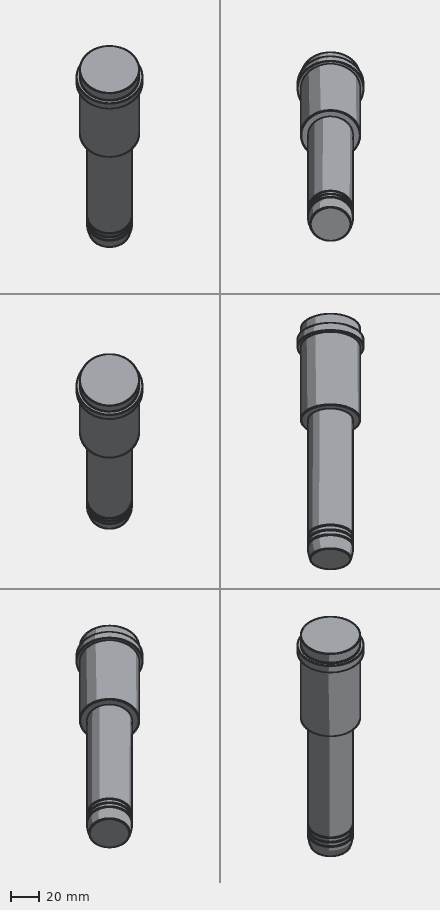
import cadquery as cq

total_length = 190.0
head_bottom = 114.5
collar_bottom = 174.6
collar_top = 181.0

head_radius = 21.0
shank_radius = 16.0
collar_radius = 23.46
tip_radius = 14.5

head_chamfer = 0.5
top_chamfer = 0.4
collar_chamfer = 0.4
tip_length = 7.0
tip_bulge = 0.2
tip_chamfer = 0.5

relief_half_width = 0.5
relief_depth = 0.4

groove_count = 3
groove_spacing = 4.0
first_groove_height = 10.6
groove_half_width = 0.5
groove_depth = 0.4


def v_groove_cutter(height, cylinder_radius, half_width, depth):
    """Ring of triangular section that cuts a V-groove into a cylinder."""
    return (
        cq.Workplane("XZ")
        .moveTo(cylinder_radius, height - half_width)
        .lineTo(cylinder_radius, height + half_width)
        .lineTo(cylinder_radius - depth, height)
        .close()
        .revolve(360, (0, 0, 0), (0, 1, 0))
    )


def make_shank():
    """Shank with a crowned tip that narrows towards the bottom."""
    tip_middle = (
        (shank_radius + tip_radius) / 2 + tip_bulge,
        (tip_length + tip_chamfer) / 2,
    )
    return (
        cq.Workplane("XZ")
        .moveTo(0, head_bottom)
        .lineTo(shank_radius, head_bottom)
        .lineTo(shank_radius, tip_length)
        .threePointArc(tip_middle, (tip_radius, tip_chamfer))
        .lineTo(tip_radius - tip_chamfer, 0)
        .lineTo(0, 0)
        .close()
        .revolve(360, (0, 0, 0), (0, 1, 0))
    )


def make_head():
    """Thicker upper cylinder with both end edges chamfered."""
    return (
        cq.Workplane("XY")
        .workplane(offset=head_bottom)
        .circle(head_radius)
        .extrude(total_length - head_bottom)
        .faces("<Z")
        .chamfer(head_chamfer)
        .faces(">Z")
        .chamfer(top_chamfer)
    )


def make_collar():
    """Flange ring with both rims chamfered."""
    return (
        cq.Workplane("XY")
        .workplane(offset=collar_bottom)
        .circle(collar_radius)
        .extrude(collar_top - collar_bottom)
        .edges()
        .chamfer(collar_chamfer)
    )


result = make_shank().union(make_head()).union(make_collar())
relief_height = collar_top + relief_half_width
result = result.cut(
    v_groove_cutter(relief_height, head_radius, relief_half_width, relief_depth)
)

for index in range(groove_count):
    groove_height = first_groove_height + index * groove_spacing
    result = result.cut(
        v_groove_cutter(groove_height, shank_radius, groove_half_width, groove_depth)
    )